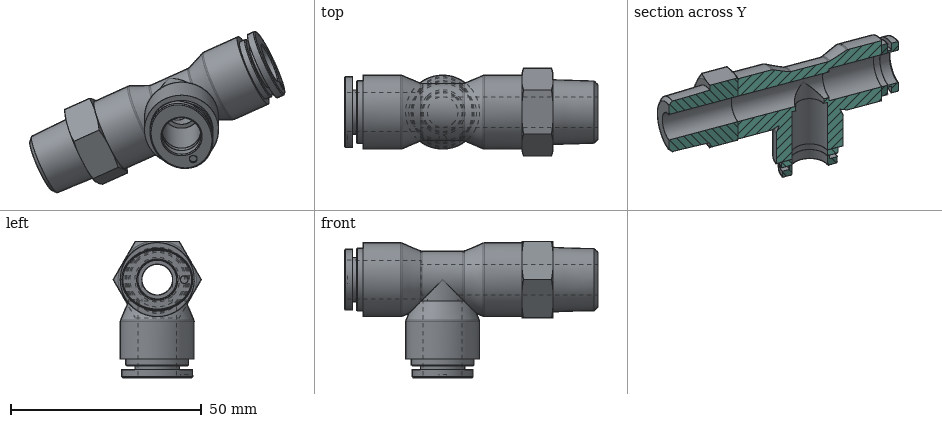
import cadquery as cq
import math


barrel_diameter = 19.4
waist_diameter = 15.0
port_reach = 20.8
cone_start = 5.6
cone_end = 10.8
cone_blend_radius = 1.0
edge_search = 0.1
flow_bore = 8.0
tube_socket_bore = 10.15
tube_stop = cone_start

collar_diameter = 16.5
collar_length = 1.8
collar_chamfer = 0.3

sleeve_bore = 10.2
sleeve_neck_diameter = 11.7
sleeve_neck_length = 1.0
sleeve_head_length = 2.1
sleeve_head_wide = 18.6
sleeve_head_narrow = 16.0
sleeve_head_chamfer = 0.3
sleeve_mouth_chamfer = 0.3
dimple_diameter = 2.0
dimple_offset = 7.05
dimple_depth = 0.8

hex_sides = 6
hex_across_flats = 20.0
hex_length = 8.1
hex_chamfer_face_diameter = 20.5
hex_chamfer_drop = 0.4
thread_length = 11.8
thread_base_diameter = 17.0
thread_taper = 1 / 16
thread_chamfer = 1.0

collar_face = port_reach + collar_length
head_inner_face = collar_face + sleeve_neck_length
sleeve_face = head_inner_face + sleeve_head_length


def disc(diameter, start, length):
    """Cylinder on the X axis, running from x = start towards +X."""
    return cq.Workplane("YZ").workplane(offset=start).circle(diameter / 2).extrude(length)


def to_branch(port_part):
    """Turn a part of the -X port down to the -Z branch port."""
    return port_part.rotate((0, 0, 0), (0, 1, 0), -90)


def flared_port():
    """Outer form of one port: waist, flare and barrel, along -X from the crossing."""
    port = (
        cq.Workplane("XY")
        .moveTo(0, 0)
        .lineTo(0, waist_diameter / 2)
        .lineTo(-cone_start, waist_diameter / 2)
        .lineTo(-cone_end, barrel_diameter / 2)
        .lineTo(-port_reach, barrel_diameter / 2)
        .lineTo(-port_reach, 0)
        .close()
        .revolve(360, (0, 0, 0), (1, 0, 0))
    )
    return blend_edge_at(port, -cone_end)


def blend_edge_at(port, station):
    """Round the circular edge of a port that lies in the plane x = station."""
    edge_at_station = cq.selectors.BoxSelector(
        (station - edge_search, -barrel_diameter, -barrel_diameter),
        (station + edge_search, barrel_diameter, barrel_diameter),
        boundingbox=True,
    )
    return port.edges(edge_at_station).fillet(cone_blend_radius)


def make_housing():
    branch_port = flared_port()
    left_port = blend_edge_at(branch_port, -cone_start)
    right_port = left_port.mirror("YZ")
    outer = left_port.union(right_port).union(to_branch(branch_port))

    run_bore = disc(flow_bore, -port_reach, 2 * port_reach)
    branch_bore = to_branch(disc(flow_bore, -port_reach, port_reach))
    socket = disc(tube_socket_bore, -port_reach, port_reach - tube_stop)
    return outer.cut(run_bore).cut(branch_bore).cut(socket).cut(to_branch(socket))


def make_collar():
    collar = disc(collar_diameter, -collar_face, collar_length)
    collar = collar.faces("<X").chamfer(collar_chamfer)
    return collar.cut(disc(tube_socket_bore, -collar_face, collar_length))


def make_sleeve():
    head = (
        cq.Workplane("YZ")
        .workplane(offset=-sleeve_face)
        .ellipse(sleeve_head_wide / 2, sleeve_head_narrow / 2)
        .extrude(sleeve_head_length)
        .faces("<X")
        .chamfer(sleeve_head_chamfer)
    )
    neck = disc(sleeve_neck_diameter, -head_inner_face, sleeve_neck_length)
    sleeve = head.union(neck)
    sleeve = sleeve.cut(disc(sleeve_bore, -sleeve_face, sleeve_face - collar_face))
    mouth_edge = cq.selectors.RadiusNthSelector(0)
    sleeve = sleeve.faces("<X").edges(mouth_edge).chamfer(sleeve_mouth_chamfer)
    dimple = disc(dimple_diameter, -sleeve_face, dimple_depth).translate((0, -dimple_offset, 0))
    return sleeve.cut(dimple)


def make_hexagon():
    """Hexagon with flats up and down, its corners cut back by a cone at both ends."""
    across_corners = hex_across_flats / math.cos(math.pi / hex_sides)
    hexagon = (
        cq.Workplane("YZ")
        .workplane(offset=port_reach)
        .polygon(hex_sides, across_corners)
        .extrude(hex_length)
    )
    corner_depth = (across_corners - hex_chamfer_face_diameter) / 2
    envelope = disc(across_corners, port_reach, hex_length)
    envelope = envelope.faces("<X or >X").chamfer(hex_chamfer_drop, corner_depth)
    return hexagon.intersect(envelope)


def make_stud():
    hex_end = port_reach + hex_length
    thread_end = hex_end + thread_length
    end_radius = (thread_base_diameter - thread_taper * thread_length) / 2
    thread = (
        cq.Workplane("XY")
        .moveTo(hex_end, 0)
        .lineTo(hex_end, thread_base_diameter / 2)
        .lineTo(thread_end, end_radius)
        .lineTo(thread_end, 0)
        .close()
        .revolve(360, (0, 0, 0), (1, 0, 0))
        .faces(">X")
        .chamfer(thread_chamfer)
    )
    stud = make_hexagon().union(thread)
    return stud.cut(disc(flow_bore, port_reach, thread_end - port_reach))


housing = make_housing()
stud = make_stud()

port_parts = []
for port_part in (make_collar(), make_sleeve()):
    for body in (port_part, to_branch(port_part)):
        port_parts.append(body.val())

result = cq.Compound.makeCompound([housing.val(), stud.val(), *port_parts])